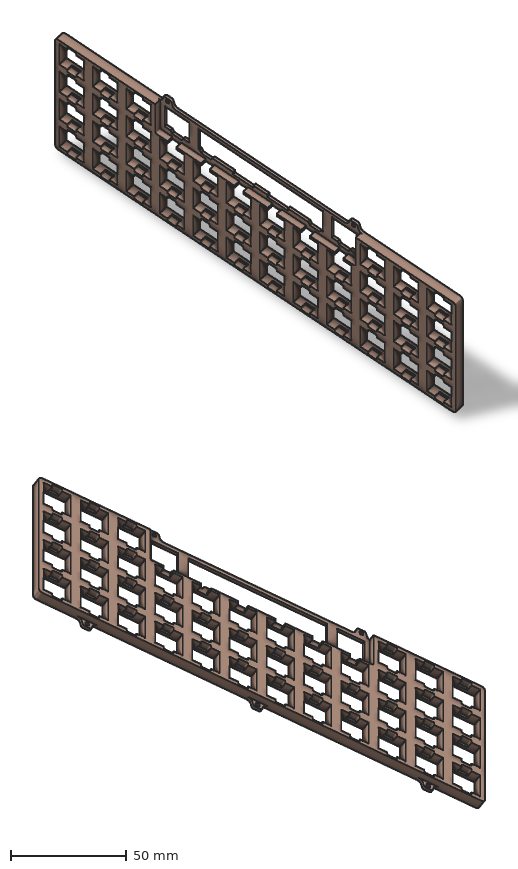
import cadquery as cq

COLUMNS = 12
ROWS = 4
LENGTH = 228.5
PITCH = LENGTH / COLUMNS
HEIGHT = ROWS * PITCH
THICKNESS = 4.8
CORNER_RADIUS = 2.0
WINDOW = 14.0

WEB = 1.49
BACK = THICKNESS / 2
FRONT = -BACK
WEB_FRONT = BACK - WEB

CLIP_WIDTH = 5.0
CLIP_DEPTH = 1.5
CLIP_RADIUS = 0.7

RECESS_COLUMNS = range(3, 9)
RECESS_WIDTH = len(RECESS_COLUMNS) * PITCH
RECESS_RADIUS = 1.1
WINDOW_MARGIN = (PITCH - WINDOW) / 2
RECESS_DEPTH = PITCH + WINDOW_MARGIN - CLIP_DEPTH

BAR_COLUMNS = range(4, 8)
BAR_WIDTH = (len(BAR_COLUMNS) - 1) * PITCH + WINDOW
TAPER_TOP_WIDTH = 7.3
TAPER_FLOOR_WIDTH = 5.5
TAPER_OFFSET = PITCH / 8
SLOT_WIDTH = 11.7
SLOT_X = 9.8

OVERALL_HEIGHT = 84.5
TAB_HEIGHT = (OVERALL_HEIGHT - HEIGHT) / 2
TAB_TIP_WIDTH = 4.3
TAB_BASE_WIDTH = 6.6
TAB_TIP_RADIUS = 1.4
TAB_FLARE_RADIUS = 2.0
TAB_ROOT = 2.3
TAB_HOLE = 2.0
TAB_HOLE_HEIGHT = 2.0
TOP_TAB_X = 53.0
BOTTOM_TAB_X = 87.3
SELECTION_MARGIN = 0.2


def column_x(column):
    return (column + 0.5) * PITCH - LENGTH / 2


def row_z(row):
    """Centre height of a row, row 0 being the top one."""
    return HEIGHT / 2 - (row + 0.5) * PITCH


def layer(front):
    """XZ sketching plane at depth Y = front; its normal is -Y, so negative extrusions go back."""
    return cq.Workplane("XZ", origin=(0, front, 0))


def block(width, height, x, z, front, back):
    """Box of the given X and Z size centred on (x, z), between two Y depths."""
    return layer(front).center(x, z).rect(width, height).extrude(front - back)


def clip_pockets(x, z):
    """Upper and lower round-cornered pockets of one window, joined across it and stopping at the web."""
    pockets = block(CLIP_WIDTH, WINDOW + 2 * CLIP_DEPTH, x, z, FRONT, WEB_FRONT)
    return pockets.edges("|Y").fillet(CLIP_RADIUS)


def recess_link(x, z):
    """Square-cornered upper pocket that opens a window of the second row into the recess."""
    return block(CLIP_WIDTH, 2 * CLIP_DEPTH, x, z + WINDOW / 2, FRONT, WEB_FRONT)


def tapered_opening(x):
    """Tapered opening through the web below a top-row window."""
    edge = row_z(0) - WINDOW / 2
    top = TAPER_TOP_WIDTH / 2
    floor = TAPER_FLOOR_WIDTH / 2
    return (
        layer(WEB_FRONT)
        .moveTo(x - top, edge)
        .lineTo(x - floor, edge - CLIP_DEPTH)
        .lineTo(x + floor, edge - CLIP_DEPTH)
        .lineTo(x + top, edge)
        .close()
        .extrude(-WEB)
    )


def bar_slot(x):
    """Straight opening through the web along the lower edge of the space bar window."""
    return block(SLOT_WIDTH, 2 * CLIP_DEPTH, x, row_z(0) - WINDOW / 2, WEB_FRONT, BACK)


def round_corners(body, x, width, z, radius):
    """Fillet the two Y-running edges that lie the given width apart at height z."""
    reach = width / 2 + SELECTION_MARGIN
    corners = cq.selectors.BoxSelector(
        (x - reach, FRONT, z - SELECTION_MARGIN),
        (x + reach, BACK, z + SELECTION_MARGIN),
    )
    return body.edges("|Y").edges(corners).fillet(radius)


def tab(x, side):
    """Screw tab in the web layer on the top (side = 1) or bottom (side = -1) edge."""
    edge = side * HEIGHT / 2
    tip = edge + side * TAB_HEIGHT
    root = edge - side * TAB_ROOT
    flared_base = TAB_BASE_WIDTH / 2 + TAB_FLARE_RADIUS
    body = (
        layer(WEB_FRONT)
        .polyline(
            [
                (x - flared_base, root),
                (x - flared_base, edge),
                (x - TAB_BASE_WIDTH / 2, edge),
                (x - TAB_TIP_WIDTH / 2, tip),
                (x + TAB_TIP_WIDTH / 2, tip),
                (x + TAB_BASE_WIDTH / 2, edge),
                (x + flared_base, edge),
                (x + flared_base, root),
            ]
        )
        .close()
        .extrude(-WEB)
    )
    body = round_corners(body, x, TAB_TIP_WIDTH, tip, TAB_TIP_RADIUS)
    return round_corners(body, x, TAB_BASE_WIDTH, edge, TAB_FLARE_RADIUS)


def tab_hole(x, side):
    """Screw hole through a tab."""
    z = side * (HEIGHT / 2 + TAB_HOLE_HEIGHT)
    return layer(WEB_FRONT).center(x, z).circle(TAB_HOLE / 2).extrude(-WEB)


plate = block(LENGTH, HEIGHT, 0, 0, FRONT, BACK)
plate = plate.edges("|Y").fillet(CORNER_RADIUS)
recess = block(RECESS_WIDTH, 2 * RECESS_DEPTH, 0, HEIGHT / 2, FRONT, WEB_FRONT)
plate = plate.cut(recess.edges("|Y").fillet(RECESS_RADIUS))

tab_places = [(x, 1) for x in (-TOP_TAB_X, TOP_TAB_X)]
tab_places += [(x, -1) for x in (-BOTTOM_TAB_X, 0, BOTTOM_TAB_X)]
for x, side in tab_places:
    plate = plate.union(tab(x, side)).cut(tab_hole(x, side))

cutters = []
for row in range(ROWS):
    for column in range(COLUMNS):
        x = column_x(column)
        z = row_z(row)
        in_recess = row == 0 and column in RECESS_COLUMNS
        if not (in_recess and column in BAR_COLUMNS):
            cutters.append(block(WINDOW, WINDOW, x, z, FRONT, BACK))
        if not in_recess:
            cutters.append(clip_pockets(x, z))
        if row == 1 and column in RECESS_COLUMNS:
            cutters.append(recess_link(x, z))

cutters.append(block(BAR_WIDTH, WINDOW, 0, row_z(0), FRONT, BACK))
bar_opening_x = column_x(BAR_COLUMNS[-1]) + TAPER_OFFSET
for side in (-1, 1):
    cutters.append(tapered_opening(side * column_x(RECESS_COLUMNS[-1])))
    cutters.append(tapered_opening(side * bar_opening_x))
    cutters.append(bar_slot(side * SLOT_X))

openings = [cutter.val() for cutter in cutters]
result = cq.Workplane(plate.val().cut(*openings).clean().Solids()[0])